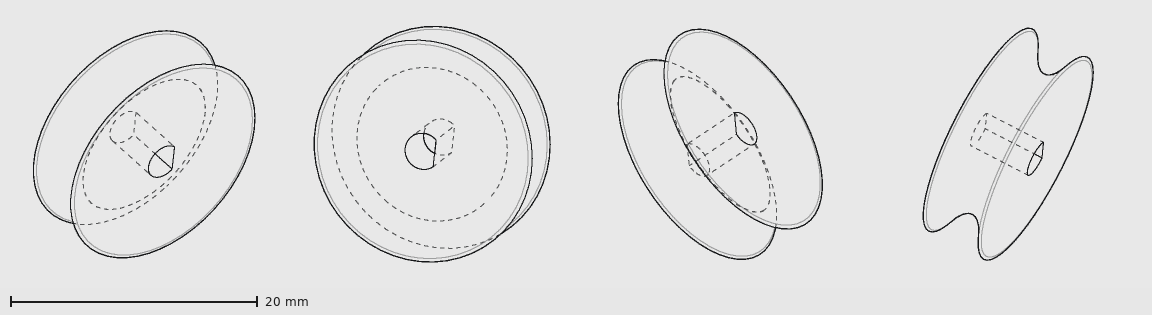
import cadquery as cq
import math

wheel_diameter = 18.44
wheel_width = 5.33
face_diameter = 17.81

groove_root_diameter = 12.82
groove_half_width = 2.43
groove_depth = 2.6

rim_crest_offset = 2.58

bore_diameter = 3.0
flat_distance = 1.0
flat_tilt = -6.2

wheel_radius = wheel_diameter / 2
half_width = wheel_width / 2
face_radius = face_diameter / 2
groove_root_radius = groove_root_diameter / 2
groove_edge_radius = groove_root_radius + groove_depth
groove_edge_slope = 2 * groove_depth / groove_half_width


def groove_point(t):
    """Point on the parabola; t runs from -1 to 1 across the groove."""
    return (t * groove_half_width, groove_root_radius + groove_depth * t**2)


def make_wheel():
    profile = (
        cq.Workplane("XY")
        .moveTo(-half_width, 0)
        .lineTo(-half_width, face_radius)
        .spline(
            [(-rim_crest_offset, wheel_radius), (-groove_half_width, groove_edge_radius)],
            tangents=[(0, 1), (1, 0), (1, -groove_edge_slope)],
            includeCurrent=True,
        )
        .parametricCurve(lambda u: groove_point(2 * u - 1), makeWire=False)
        .spline(
            [(rim_crest_offset, wheel_radius), (half_width, face_radius)],
            tangents=[(1, groove_edge_slope), (1, 0), (0, -1)],
            includeCurrent=True,
        )
        .lineTo(half_width, 0)
        .close()
    )
    return profile.revolve(360, (0, 0, 0), (1, 0, 0))


def make_bore():
    """D-shaped cutter with its flat facing +Y, tilted about the X axis."""
    bore_radius = bore_diameter / 2
    flat_half_length = math.sqrt(bore_radius**2 - flat_distance**2)
    return (
        cq.Workplane("YZ")
        .workplane(offset=-half_width)
        .moveTo(flat_distance, flat_half_length)
        .threePointArc((-bore_radius, 0), (flat_distance, -flat_half_length))
        .close()
        .extrude(wheel_width)
        .rotate((0, 0, 0), (1, 0, 0), flat_tilt)
    )


result = make_wheel().cut(make_bore())